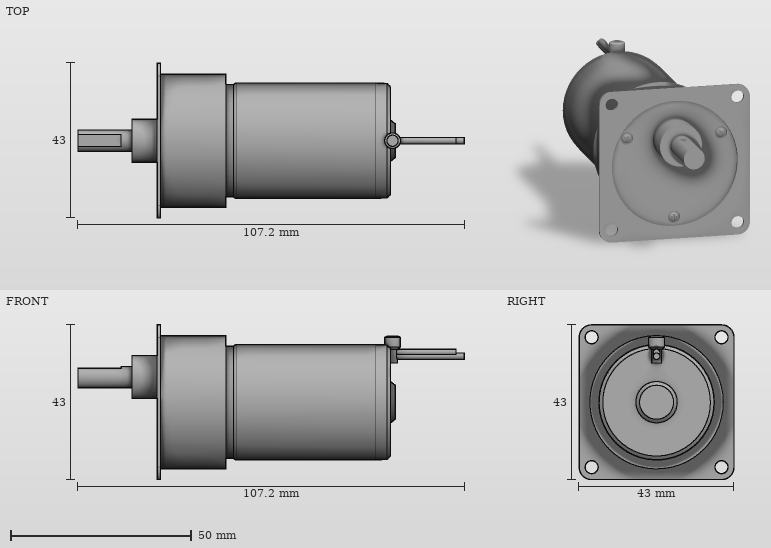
import cadquery as cq
import math

overall_length = 107.2

flange_side = 43.0
flange_thickness = 1.0
hole_spacing = 36.0
hole_diameter = 3.5
corner_radius = (flange_side - hole_spacing) / 2
recess_diameter = 36.0
recess_depth = flange_thickness

gearbox_diameter = 37.0
gearbox_length = 18.1
neck_diameter = 31.2
neck_length = 1.9
motor_diameter = 32.0
motor_length = 43.7
motor_front_fillet = 1.0
motor_rear_chamfer = 1.0
motor_rear_diameter = 31.8
motor_taper_length = 3.2
rear_boss_base_diameter = 11.5
rear_boss_tip_diameter = 9.4
rear_boss_height = 1.3
gearbox_rear = flange_thickness + gearbox_length
motor_front = gearbox_rear + neck_length
motor_rear = motor_front + motor_length

shaft_offset = 7.0
shaft_boss_diameter = 12.0
shaft_boss_length = 7.0
shaft_diameter = 6.0
shaft_length = 15.0
flat_length = 12.0
flat_depth = 0.5
shaft_tip = -(shaft_boss_length + shaft_length)

screw_circle_radius = 15.5
screw_angles = (30, 150, 270)
screw_pocket_diameter = 3.5
screw_pocket_depth = 0.5
screw_head_diameter = 2.8
screw_dome_height = 0.5
cross_length = 1.7
cross_width = 0.4

gland_x = motor_rear + 0.5
gland_diameter = 4.4
gland_bottom = 14.7
gland_height = 3.6
gland_top_chamfer_height = 0.6
gland_top_chamfer_width = 0.3
gland_bottom_chamfer = 0.6
stem_diameter = 2.8
stem_bottom = 10.8
wire_diameter = 1.8
wire_spacing = 1.1
lower_wire_z = 12.8
wire_tip = shaft_tip + overall_length
wire_step = 2.3


def x_cylinder(x_start, x_end, diameter, z=0.0, y=0.0):
    """Cylinder along X between two stations."""
    plane = cq.Plane(origin=(x_start, y, z), xDir=(0, 1, 0), normal=(1, 0, 0))
    return cq.Workplane(plane).circle(diameter / 2).extrude(x_end - x_start)


def make_flange():
    flange = (
        cq.Workplane("YZ")
        .rect(flange_side, flange_side)
        .extrude(flange_thickness)
        .edges("|X")
        .fillet(corner_radius)
    )
    holes = (
        cq.Workplane("YZ")
        .rect(hole_spacing, hole_spacing, forConstruction=True)
        .vertices()
        .circle(hole_diameter / 2)
        .extrude(flange_thickness)
    )
    return flange.cut(holes).cut(x_cylinder(0, recess_depth, recess_diameter))


def make_motor():
    """Motor can: rounded front edge, slight taper towards the rear, chamfered rear edge."""
    radius = motor_diameter / 2
    rear_radius = motor_rear_diameter / 2
    fillet_inset = motor_front_fillet * (1 - math.sqrt(0.5))
    chamfer_start = motor_rear - motor_rear_chamfer
    return (
        cq.Workplane("XY")
        .moveTo(motor_front, 0)
        .lineTo(motor_front, radius - motor_front_fillet)
        .threePointArc(
            (motor_front + fillet_inset, radius - fillet_inset),
            (motor_front + motor_front_fillet, radius),
        )
        .lineTo(chamfer_start - motor_taper_length, radius)
        .lineTo(chamfer_start, rear_radius)
        .lineTo(motor_rear, rear_radius - motor_rear_chamfer)
        .lineTo(motor_rear, 0)
        .close()
        .revolve(360, (0, 0, 0), (1, 0, 0))
    )


def make_body():
    gearbox = x_cylinder(flange_thickness, gearbox_rear, gearbox_diameter)
    neck = x_cylinder(gearbox_rear, motor_front + motor_front_fillet, neck_diameter)
    motor = make_motor()
    rear_boss = cq.Workplane(
        cq.Solid.makeCone(
            rear_boss_base_diameter / 2,
            rear_boss_tip_diameter / 2,
            rear_boss_height,
            pnt=cq.Vector(motor_rear, 0, 0),
            dir=cq.Vector(1, 0, 0),
        )
    )
    return gearbox.union(neck).union(motor).union(rear_boss)


def make_shaft():
    boss = x_cylinder(-shaft_boss_length, recess_depth, shaft_boss_diameter, shaft_offset)
    shaft = x_cylinder(shaft_tip, -shaft_boss_length, shaft_diameter, shaft_offset)
    flat_z = shaft_offset + shaft_diameter / 2 - flat_depth
    flat_cutter = (
        cq.Workplane("XY")
        .box(flat_length, shaft_diameter, shaft_diameter, centered=(False, True, False))
        .translate((shaft_tip, 0, flat_z))
    )
    return boss.union(shaft.cut(flat_cutter))


def make_screw_head():
    """Domed screw head with a cross recess, on the X axis with its crown facing -X."""
    radius = screw_head_diameter / 2
    seat = recess_depth + screw_pocket_depth
    crown = seat - screw_dome_height
    dome_radius = (radius**2 + screw_dome_height**2) / (2 * screw_dome_height)
    half_angle = math.asin(radius / dome_radius) / 2
    arc_middle = (
        crown + dome_radius * (1 - math.cos(half_angle)),
        dome_radius * math.sin(half_angle),
    )
    head = (
        cq.Workplane("XY")
        .moveTo(crown, 0)
        .threePointArc(arc_middle, (seat, radius))
        .lineTo(seat, 0)
        .close()
        .revolve(360, (0, 0, 0), (1, 0, 0))
    )
    cross = (
        cq.Workplane("YZ")
        .rect(cross_length, cross_width)
        .extrude(seat)
        .union(cq.Workplane("YZ").rect(cross_width, cross_length).extrude(seat))
    )
    return head.cut(cross)


def add_screws(body):
    pocket = x_cylinder(recess_depth, recess_depth + screw_pocket_depth, screw_pocket_diameter,
                        y=screw_circle_radius)
    head = make_screw_head().translate((0, screw_circle_radius, 0))
    for angle in screw_angles:
        body = body.cut(pocket.rotate((0, 0, 0), (1, 0, 0), angle))
        body = body.union(head.rotate((0, 0, 0), (1, 0, 0), angle))
    return body


def make_cable():
    gland = (
        cq.Workplane("XY", origin=(gland_x, 0, gland_bottom))
        .circle(gland_diameter / 2)
        .extrude(gland_height)
        .faces(">Z")
        .edges()
        .chamfer(gland_top_chamfer_width, gland_top_chamfer_height)
        .faces("<Z")
        .edges()
        .chamfer(gland_bottom_chamfer)
    )
    stem = (
        cq.Workplane("XY", origin=(gland_x, 0, stem_bottom))
        .circle(stem_diameter / 2)
        .extrude(gland_bottom - stem_bottom)
    )
    lower_wire = x_cylinder(gland_x, wire_tip, wire_diameter, lower_wire_z)
    upper_wire = x_cylinder(gland_x, wire_tip - wire_step, wire_diameter, lower_wire_z + wire_spacing)
    return gland.union(stem).union(lower_wire).union(upper_wire)


housing = make_flange().union(make_body())
result = add_screws(housing).union(make_shaft()).union(make_cable())